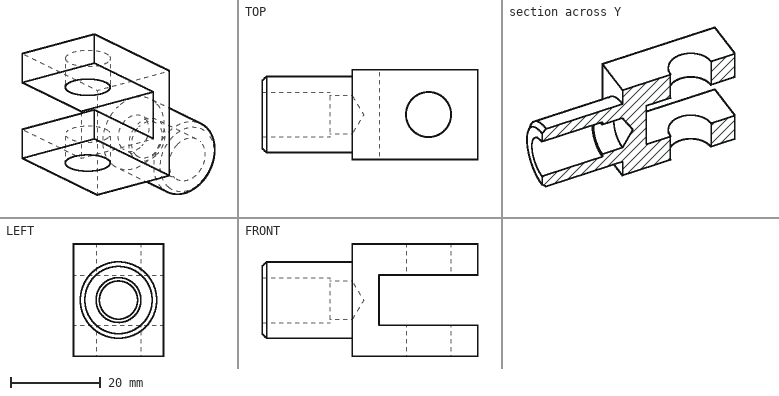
import cadquery as cq
import math

total_length = 48.0
fork_width = 20.0
fork_height = 25.0

shank_length = 20.0
shank_diameter = 17.0
shank_chamfer = 1.0

slot_height = 11.15
slot_depth = 22.0
pin_diameter = 10.0
pin_end_distance = slot_depth / 2

mouth_diameter = pin_diameter
mouth_depth = 0.75 * shank_length
drill_diameter = 8.5
drill_depth = shank_length
drill_point_angle = 118.0


def make_shank():
    shank = cq.Workplane("YZ").circle(shank_diameter / 2).extrude(shank_length)
    return shank.faces("<X").chamfer(shank_chamfer)


def make_fork():
    fork_length = total_length - shank_length
    fork = cq.Workplane("XY").box(fork_length, fork_width, fork_height, centered=(False, True, True))
    return fork.translate((shank_length, 0, 0))


def make_slot():
    slot = cq.Workplane("XY").box(slot_depth, fork_width, slot_height, centered=(False, True, True))
    return slot.translate((total_length - slot_depth, 0, 0))


def make_pin_hole():
    pin_hole = cq.Workplane("XY").circle(pin_diameter / 2).extrude(fork_height / 2, both=True)
    return pin_hole.translate((total_length - pin_end_distance, 0, 0))


def make_bore():
    mouth_radius = mouth_diameter / 2
    drill_radius = drill_diameter / 2
    point_length = drill_radius / math.tan(math.radians(drill_point_angle / 2))
    half_profile = (
        cq.Workplane("XY")
        .moveTo(0, 0)
        .lineTo(0, mouth_radius)
        .lineTo(mouth_depth, mouth_radius)
        .lineTo(mouth_depth, drill_radius)
        .lineTo(drill_depth, drill_radius)
        .lineTo(drill_depth + point_length, 0)
        .close()
    )
    return half_profile.revolve(360, (0, 0, 0), (1, 0, 0))


body = make_shank().union(make_fork())
result = body.cut(make_slot()).cut(make_pin_hole()).cut(make_bore())